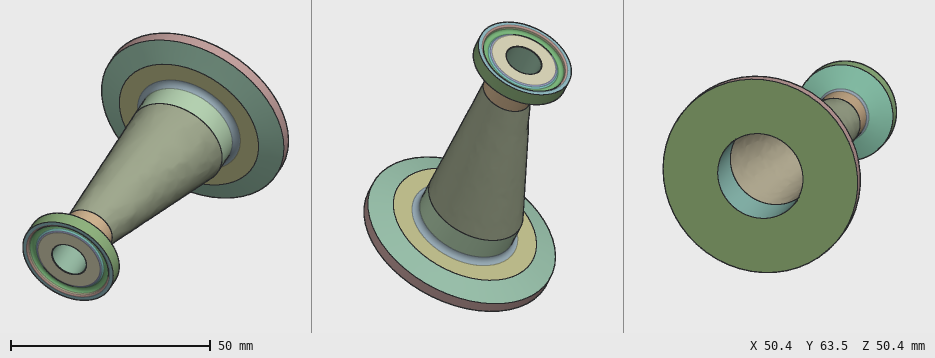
import cadquery as cq
import math

overall_length = 63.5
ferrule_length = 12.7
reducer_length = overall_length - 2 * ferrule_length

large_tube_radius = 12.7
small_tube_radius = 6.35
wall = 1.65
large_bore_radius = large_tube_radius - wall
small_bore_radius = small_tube_radius - wall
small_axis_x = small_tube_radius - large_tube_radius

large_flange_radius = 25.2
large_rim_height = 2.85
large_flange_height = 5.1
large_shoulder_radius = 19.25
large_neck_fillet = 1.5

small_flange_radius = 12.5
small_rim_height = 3.7
clamp_angle = 20.0
small_neck_fillet = 0.75
small_bore_chamfer = 0.1

groove_outer_radius = 11.5
groove_lip_radius = 0.5
outer_wall_turn = math.radians(75)
outer_wall_width = 0.1
groove_floor_radius = 0.9
inner_wall_turn = math.radians(45)
inner_wall_width = 0.4
inner_lip_radius = 0.65


def revolve_about_y(profile):
    return profile.close().revolve(360, (0, 0, 0), (0, 1, 0))


def arc_point(center, radius, angle):
    """Point on a circle at an angle in degrees from +X."""
    turn = math.radians(angle)
    return (center[0] + radius * math.cos(turn), center[1] + radius * math.sin(turn))


def make_large_ferrule():
    """Flange with a bevelled back, and a tube running toward -Y."""
    shoulder_y = overall_length - large_flange_height
    tube_end_y = overall_length - ferrule_length
    fillet_center = (large_tube_radius + large_neck_fillet, shoulder_y - large_neck_fillet)
    return revolve_about_y(
        cq.Workplane("XY")
        .moveTo(large_bore_radius, overall_length)
        .lineTo(large_flange_radius, overall_length)
        .lineTo(large_flange_radius, overall_length - large_rim_height)
        .lineTo(large_shoulder_radius, shoulder_y)
        .lineTo(fillet_center[0], shoulder_y)
        .threePointArc(
            arc_point(fillet_center, large_neck_fillet, 135),
            (large_tube_radius, fillet_center[1]),
        )
        .lineTo(large_tube_radius, tube_end_y)
        .lineTo(large_bore_radius, tube_end_y)
    )


def make_offset_cone(small_radius, large_radius):
    """Solid cone between the two parallel, offset tube axes."""
    small_circle = cq.Wire.makeCircle(
        small_radius, cq.Vector(small_axis_x, ferrule_length, 0), cq.Vector(0, 1, 0)
    )
    large_circle = cq.Wire.makeCircle(
        large_radius, cq.Vector(0, ferrule_length + reducer_length, 0), cq.Vector(0, 1, 0)
    )
    return cq.Workplane(cq.Solid.makeLoft([small_circle, large_circle], True))


def make_reducer():
    """Hollow offset cone joining the two ferrules."""
    outside = make_offset_cone(small_tube_radius, large_tube_radius)
    bore = make_offset_cone(small_bore_radius, large_bore_radius)
    return outside.cut(bore)


def turn_arc(path, start, radius, start_turn, end_turn):
    """Add an arc whose heading, from -X, swings from start_turn to end_turn; return its end.

    A heading of +90 degrees would run straight into the flange, along +Y.
    """
    side = math.copysign(radius, end_turn - start_turn)

    def point_at(turn):
        return (
            start[0] - side * (math.sin(turn) - math.sin(start_turn)),
            start[1] + side * (math.cos(start_turn) - math.cos(turn)),
        )

    end = point_at(end_turn)
    middle = point_at((start_turn + end_turn) / 2)
    return path.threePointArc(middle, end), end


def add_wall(path, start, width, turn):
    """Add a straight sloping wall of a given radial width; return its end."""
    end = (start[0] - width, start[1] + width * math.tan(turn))
    return path.lineTo(*end), end


def make_face_recess():
    """Cut for the end face: a rounded groove around a slightly recessed inner face."""
    point = (groove_outer_radius, 0)
    path = cq.Workplane("XY").moveTo(*point)
    path, point = turn_arc(path, point, groove_lip_radius, 0, outer_wall_turn)
    path, point = add_wall(path, point, outer_wall_width, outer_wall_turn)
    path, point = turn_arc(path, point, groove_floor_radius, outer_wall_turn, -inner_wall_turn)
    path, point = add_wall(path, point, inner_wall_width, -inner_wall_turn)
    path, (_, face_y) = turn_arc(path, point, inner_lip_radius, -inner_wall_turn, 0)

    chamfer_radius = small_bore_radius + small_bore_chamfer
    return revolve_about_y(
        path.lineTo(chamfer_radius, face_y)
        .lineTo(small_bore_radius, face_y + small_bore_chamfer)
        .lineTo(small_bore_radius, 0)
    )


def make_small_ferrule():
    """Flange with a conical back and a grooved face, and a tube running toward +Y."""
    cone_turn = math.radians(clamp_angle)
    cone_height = (small_flange_radius - small_tube_radius) * math.tan(cone_turn)
    neck_y = small_rim_height + cone_height
    setback = small_neck_fillet * math.tan((math.pi / 2 - cone_turn) / 2)
    fillet_center = (small_tube_radius + small_neck_fillet, neck_y + setback)
    fillet_mid_angle = 180 + (90 - clamp_angle) / 2

    ferrule = revolve_about_y(
        cq.Workplane("XY")
        .moveTo(small_bore_radius, 0)
        .lineTo(small_flange_radius, 0)
        .lineTo(small_flange_radius, small_rim_height)
        .lineTo(
            small_tube_radius + setback * math.cos(cone_turn),
            neck_y - setback * math.sin(cone_turn),
        )
        .threePointArc(
            arc_point(fillet_center, small_neck_fillet, fillet_mid_angle),
            (small_tube_radius, fillet_center[1]),
        )
        .lineTo(small_tube_radius, ferrule_length)
        .lineTo(small_bore_radius, ferrule_length)
    )
    return ferrule.cut(make_face_recess()).translate((small_axis_x, 0, 0))


large_ferrule = make_large_ferrule()
reducer = make_reducer()
small_ferrule = make_small_ferrule()

result = cq.Compound.makeCompound([large_ferrule.val(), reducer.val(), small_ferrule.val()])